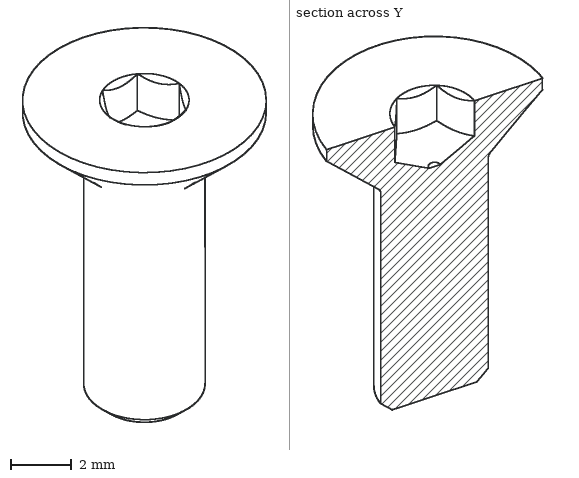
import cadquery as cq
import math

total_length = 12
shank_diameter = 4.0
head_diameter = 8.0
head_rim_height = 0.5
neck_fillet_radius = 0.25
tip_chamfer = 0.43

socket_across_flats = 2.55
socket_depth = 1.5
socket_floor_diameter = 0.41
socket_floor_angle = 30
socket_mouth_angle = 45

neck_search_margin = 0.12

shank_radius = shank_diameter / 2
head_radius = head_diameter / 2
socket_corner_radius = socket_across_flats / math.sqrt(3)
socket_floor_radius = socket_floor_diameter / 2


def make_body():
    """Revolve the 45 degree head and chamfered shank below z = 0, then round the neck."""
    neck_z = -head_rim_height - (head_radius - shank_radius)
    body = (
        cq.Workplane("XZ")
        .lineTo(head_radius, 0)
        .lineTo(head_radius, -head_rim_height)
        .lineTo(shank_radius, neck_z)
        .lineTo(shank_radius, -total_length + tip_chamfer)
        .lineTo(shank_radius - tip_chamfer, -total_length)
        .lineTo(0, -total_length)
        .close()
        .revolve(360, (0, 0, 0), (0, 1, 0))
    )
    neck_edge = cq.selectors.BoxSelector(
        (-shank_radius, -shank_radius, neck_z - neck_search_margin),
        (shank_radius, shank_radius, neck_z + neck_search_margin),
    )
    return body.edges(neck_edge).fillet(neck_fillet_radius)


def make_socket():
    """Hexagonal prism ending in a truncated cone, with a conical mouth."""
    floor_slope = math.tan(math.radians(socket_floor_angle))
    mouth_slope = math.tan(math.radians(socket_mouth_angle))
    floor_drop = (socket_corner_radius - socket_floor_radius) * floor_slope
    mouth_depth = socket_corner_radius * mouth_slope

    prism = (
        cq.Workplane("XY")
        .polygon(6, 2 * socket_corner_radius)
        .extrude(-socket_depth - floor_drop)
    )
    envelope = (
        cq.Workplane("XZ")
        .lineTo(socket_corner_radius, 0)
        .lineTo(socket_corner_radius, -socket_depth)
        .lineTo(socket_floor_radius, -socket_depth - floor_drop)
        .lineTo(0, -socket_depth - floor_drop)
        .close()
        .revolve(360, (0, 0, 0), (0, 1, 0))
    )
    mouth = (
        cq.Workplane("XZ")
        .lineTo(socket_corner_radius, 0)
        .lineTo(0, -mouth_depth)
        .close()
        .revolve(360, (0, 0, 0), (0, 1, 0))
    )
    return prism.intersect(envelope).union(mouth)


result = make_body().cut(make_socket()).translate((0, 0, total_length))